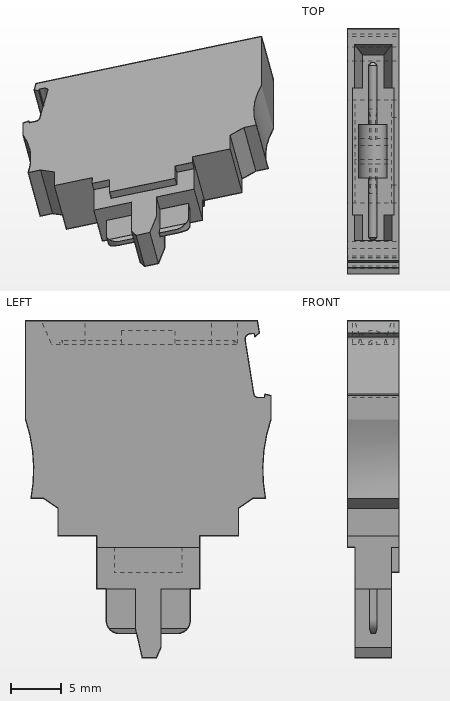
import cadquery as cq


height = 33.25
half_width = 12.1
thickness = 5.1
grip_top = 23.5
grip_middle = 19.62
grip_waist = 11.35
grip_bottom = 15.73
grip_end = 11.57
bevel_start = 10.3
bevel_bottom = 14.75
shoulder_half_width = 8.9
shoulder_bottom = 12.05
collar_bottom = 10.9

lip_top_y = -10.77
lip_nose = (-10.97, 32.05)
lip_tip = (-10.5, 31.65)
lip_root = (-10.45, 32.0)
notch_upper_corner = (-9.48, 31.92)
notch_lower_corner = (-10.47, 25.7)
notch_upper_radius = 0.53
notch_lower_radius = 0.4
barb_root = (-11.45, 25.7)
barb_tip = (-11.5, 26.05)
notch_outer_z = 25.87

neck_half_width = 5.1
neck_thickness = 3.62
neck_bottom = 6.8
pad_bottom = 8.45
pad_half_width = 3.32
prong_half_width = 1.25
prong_taper_top = 2.9
prong_tip_left = 0.6
prong_chamfer_top = 1.03
prong_tip_right = -0.8

blade_half_width = 4.15
blade_thickness = 0.75
blade_bottom = 2.4
blade_corner_radius = 1.33
blade_bevel_height = 0.5
blade_bevel_depth = 0.15

pocket_depth = 2.35
pocket_floor = height - pocket_depth
pocket_front = -8.78
pocket_back = 10.55
pocket_floor_back = 9.5
pocket_half_width = 1.83
pocket_floor_half_width = 1.05
bay_half_width = 2.03
bay_half_length = 6.25

diode_x = -0.05
diode_radius = 1.4
diode_half_length = 2.63
lead_radius = 0.43
lead_half_length = 8.75
lead_end_chamfer = 0.25


def slab(outline, slab_thickness):
    """Extrude a closed YZ outline symmetrically about X = 0."""
    return outline.close().extrude(slab_thickness / 2, both=True)


def block(half_x, front, back, bottom, top):
    """Box centred on X = 0 between the given Y and Z limits."""
    box = cq.Workplane("XY").box(2 * half_x, back - front, top - bottom, centered=(True, False, False))
    return box.translate((0, front, bottom))


def make_housing():
    outline = (
        cq.Workplane("YZ")
        .moveTo(half_width, height)
        .lineTo(half_width, grip_top)
        .threePointArc((grip_waist, grip_middle), (grip_end, grip_bottom))
        .lineTo(bevel_start, grip_bottom)
        .lineTo(shoulder_half_width, bevel_bottom)
        .lineTo(shoulder_half_width, shoulder_bottom)
        .lineTo(neck_half_width, shoulder_bottom)
        .lineTo(neck_half_width, collar_bottom)
        .lineTo(-neck_half_width, collar_bottom)
        .lineTo(-neck_half_width, shoulder_bottom)
        .lineTo(-shoulder_half_width, shoulder_bottom)
        .lineTo(-shoulder_half_width, bevel_bottom)
        .lineTo(-bevel_start, grip_bottom)
        .lineTo(-grip_end, grip_bottom)
        .threePointArc((-grip_waist, grip_middle), (-half_width, grip_top))
        .lineTo(-half_width, notch_outer_z)
        .lineTo(*barb_tip)
        .lineTo(*barb_root)
        .lineTo(*notch_lower_corner)
        .lineTo(*notch_upper_corner)
        .lineTo(*lip_root)
        .lineTo(*lip_tip)
        .lineTo(*lip_nose)
        .lineTo(lip_top_y, height)
    )
    housing = slab(outline, thickness)
    notch_corners = (
        (notch_upper_corner, notch_upper_radius),
        (notch_lower_corner, notch_lower_radius),
    )
    for (y, z), radius in notch_corners:
        corner = cq.selectors.NearestToPointSelector((0, y, z))
        housing = housing.edges(corner).fillet(radius)
    return housing


def make_neck():
    neck = block(neck_thickness / 2, -neck_half_width, neck_half_width, neck_bottom, collar_bottom)
    pad_size = (thickness / 2, 2 * pad_half_width, collar_bottom - pad_bottom)
    pad = cq.Workplane("XY").box(*pad_size, centered=(False, True, False))
    return neck.union(pad.translate((0, 0, pad_bottom)))


def make_prong():
    outline = (
        cq.Workplane("YZ")
        .moveTo(prong_half_width, neck_bottom)
        .lineTo(prong_half_width, prong_taper_top)
        .lineTo(prong_tip_left, 0)
        .lineTo(prong_tip_right, 0)
        .lineTo(-prong_half_width, prong_chamfer_top)
        .lineTo(-prong_half_width, neck_bottom)
    )
    return slab(outline, neck_thickness)


def make_blade():
    half_x = blade_thickness / 2
    tip_x = half_x - blade_bevel_depth
    bevel_top = blade_bottom + blade_bevel_height
    bevelled = (
        cq.Workplane("XZ")
        .moveTo(-half_x, neck_bottom)
        .lineTo(-half_x, bevel_top)
        .lineTo(-tip_x, blade_bottom)
        .lineTo(tip_x, blade_bottom)
        .lineTo(half_x, bevel_top)
        .lineTo(half_x, neck_bottom)
        .close()
        .extrude(blade_half_width, both=True)
    )
    rounded = block(half_x, -blade_half_width, blade_half_width, blade_bottom, neck_bottom)
    rounded = rounded.faces("<Z").edges("|X").fillet(blade_corner_radius)
    return bevelled.intersect(rounded)


def make_pocket():
    """Pocket with sloping side and back walls, widened by a straight-walled central bay."""
    section = (
        cq.Workplane("XZ", origin=(0, pocket_back, 0))
        .moveTo(-pocket_half_width, height)
        .lineTo(-pocket_floor_half_width, pocket_floor)
        .lineTo(pocket_floor_half_width, pocket_floor)
        .lineTo(pocket_half_width, height)
        .close()
        .extrude(pocket_back - pocket_front)
    )
    profile = (
        cq.Workplane("YZ")
        .moveTo(pocket_front, height)
        .lineTo(pocket_back, height)
        .lineTo(pocket_floor_back, pocket_floor)
        .lineTo(pocket_front, pocket_floor)
    )
    bay = block(bay_half_width, -bay_half_length, bay_half_length, pocket_floor, height)
    return section.intersect(slab(profile, thickness)).union(bay)


def rod(radius, half_length):
    """Cylinder on the diode axis, centred on Y = 0."""
    plane = cq.Workplane("XZ", origin=(diode_x, half_length, pocket_floor))
    return plane.circle(radius).extrude(2 * half_length)


def make_diode():
    leads = rod(lead_radius, lead_half_length)
    leads = leads.faces("<Y or >Y").chamfer(lead_end_chamfer)
    return leads.union(rod(diode_radius, diode_half_length))


result = (
    make_housing()
    .union(make_neck())
    .union(make_prong())
    .union(make_blade())
    .cut(make_pocket())
    .union(make_diode())
)